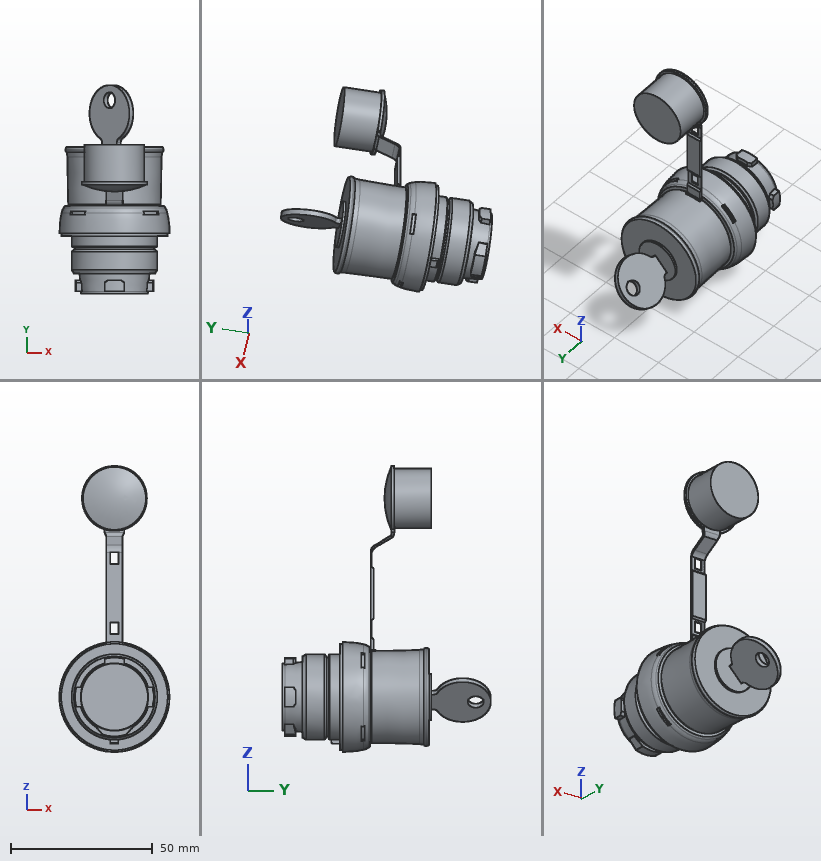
import cadquery as cq
import math

NOSE_RIM_END = 0.9
LUG_END = 4.9
NOSE_END = 7.2
COLLAR_END = 15.7
NECK_END = 16.4
SPIGOT_END = 20.4
BEZEL_STEP = 21.4
BEZEL_SEAM = 28.6
BEZEL_CORNER = 30.4
BEZEL_END = 31.1
GROOVE_END = 31.6
SKIRT_END = 48.4
LIP_START = 50.1
LIP_CREST_START = 50.7
LIP_CREST_END = 51.0
LIP_END = 51.9
DISC_END = 52.75

NOSE_TIP_RADIUS = 11.8
NOSE_RIM_RADIUS = 11.95
NOSE_ROOT_RADIUS = 12.4
COLLAR_RADIUS = 15.15
NECK_RADIUS = 14.0
BEZEL_STEP_RADIUS = 18.8
BEZEL_RADIUS = 19.5
BEZEL_SEAM_RADIUS = 18.7
BEZEL_CORNER_RADIUS = 18.0
BEZEL_REAR_RADIUS = 17.4
GROOVE_RADIUS = 15.7
SKIRT_FRONT_RADIUS = 16.4
SKIRT_REAR_RADIUS = 16.7
LIP_FLANK_RADIUS = 16.95
LIP_RADIUS = 17.35
DISC_RADIUS = 8.2

BEZEL_SEAM_BULGE = 0.1
BEZEL_CORNER_BULGE = 0.1
BEZEL_WALL_BULGE = 0.25
COLLAR_BEVEL = 0.8
COLLAR_REAR_BEVEL = 0.8
COLLAR_FRONT_BEVEL = 1.25
SPIGOT_BEVEL = 0.4
LIP_BULGE = 0.1

LUG_RADIUS = 13.9
LUG_WIDTH = 7.0
LUG_CORNER_LENGTH = 0.9
LUG_CORNER_WIDTH = 1.3
LUG_ROOT_RADIUS = 10.0
WEDGE_TIP_HALF_WIDTH = 4.2
WEDGE_TIP_DEPTH = 13.2
WEDGE_ROOT_HALF_WIDTH = 7.4
WEDGE_ROOT_DEPTH = 9.7

TAB_WIDTH = 2.8
TAB_REACH = 16.6
TAB_START = 17.3
TAB_BEVEL = 0.5

MARK_COUNT = 4
MARK_LENGTH = 7.2
MARK_WIDTH = 1.2
MARK_FLOOR_RADIUS = 17.9

CAP_HEIGHT = 70.15
CAP_FLANGE_RADIUS = 11.5
CAP_DOME_RADIUS = 11.1
CAP_PLUG_RADIUS = 10.6
CAP_DOME_APEX = 36.1
CAP_FLANGE_START = 38.5
CAP_FLANGE_END = 39.6

STRAP_WIDTH = 5.85
STRAP_HEAD_WIDTH = 7.1
STRAP_FRONT = 31.25
STRAP_THIN = 0.45
STRAP_THICK = 1.15
STRAP_ROOT = 14.5
STRAP_TOP = 60.5
STRAP_BEVEL = 0.7
RIDGE_LEVELS = [(STRAP_ROOT, 21.0), (27.1, 46.0)]
WINDOW_WIDTH = 2.85
WINDOW_LEVELS = [(22.3, 26.3), (47.0, 51.1)]
HEAD_FRONT = 38.6
HEAD_BACK = 39.7
LOWER_BEND = 51.2
HEAD_TAPER_START = 56.8
HEAD_TAPER_END = 58.2
FOOT_WIDTH = 6.3
FOOT_TOP = 16.7
FOOT_BACK = 32.9

KEY_THICKNESS = 2.0
KEY_TIP = 73.76
BOW_RADIUS = 10.0
KEY_OFFSET = -1.53
STEM_WIDTH = 7.5
STEM_FILLET = 1.5
KEY_HOLE_RADIUS = 2.8
KEY_HOLE_STATION = 68.4

AXIS_END = (0, 1)


def box(x_range, y_range, z_range):
    """Box spanning the given coordinate ranges."""
    spans = [x_range, y_range, z_range]
    sizes = [high - low for low, high in spans]
    corner = tuple(low for low, high in spans)
    return cq.Workplane("XY").box(*sizes, centered=False).translate(corner)


def cylinder_y(radius, start, end):
    """Cylinder about the Y axis."""
    return cq.Workplane("XZ", origin=(0, start, 0)).circle(radius).extrude(start - end)


def arc_middle(first, second, bulge):
    """Midpoint of a chord pushed outward in radius by the bulge."""
    return ((first[0] + second[0]) / 2 + bulge, (first[1] + second[1]) / 2)


def make_barrel():
    """Turned body: nose, collar, spigot, bezel, skirt, lip and lock disc."""
    bezel_edge = (BEZEL_RADIUS, BEZEL_STEP)
    bezel_seam = (BEZEL_SEAM_RADIUS, BEZEL_SEAM)
    bezel_corner = (BEZEL_CORNER_RADIUS, BEZEL_CORNER)
    bezel_rear = (BEZEL_REAR_RADIUS, BEZEL_END)
    lip_front = (LIP_FLANK_RADIUS, LIP_START)
    crest_front = (LIP_RADIUS, LIP_CREST_START)
    crest_rear = (LIP_RADIUS, LIP_CREST_END)
    lip_rear = (LIP_FLANK_RADIUS, LIP_END)
    profile = (
        cq.Workplane("XY")
        .lineTo(NOSE_TIP_RADIUS, 0)
        .lineTo(NOSE_RIM_RADIUS, NOSE_RIM_END)
        .lineTo(NOSE_ROOT_RADIUS, NOSE_END)
        .lineTo(COLLAR_RADIUS - COLLAR_BEVEL, NOSE_END)
        .lineTo(COLLAR_RADIUS, NOSE_END + COLLAR_FRONT_BEVEL)
        .lineTo(COLLAR_RADIUS, COLLAR_END - COLLAR_REAR_BEVEL)
        .lineTo(COLLAR_RADIUS - COLLAR_BEVEL, COLLAR_END)
        .lineTo(NECK_RADIUS, COLLAR_END)
        .lineTo(NECK_RADIUS, NECK_END)
        .lineTo(COLLAR_RADIUS - SPIGOT_BEVEL, NECK_END)
        .lineTo(COLLAR_RADIUS, NECK_END + SPIGOT_BEVEL)
        .lineTo(COLLAR_RADIUS, SPIGOT_END)
        .lineTo(BEZEL_STEP_RADIUS, SPIGOT_END)
        .lineTo(BEZEL_STEP_RADIUS, BEZEL_STEP)
        .lineTo(*bezel_edge)
        .threePointArc(arc_middle(bezel_edge, bezel_seam, BEZEL_WALL_BULGE), bezel_seam)
        .threePointArc(arc_middle(bezel_seam, bezel_corner, BEZEL_SEAM_BULGE), bezel_corner)
        .threePointArc(arc_middle(bezel_corner, bezel_rear, BEZEL_CORNER_BULGE), bezel_rear)
        .lineTo(GROOVE_RADIUS, BEZEL_END)
        .lineTo(GROOVE_RADIUS, GROOVE_END)
        .lineTo(SKIRT_FRONT_RADIUS, GROOVE_END)
        .lineTo(SKIRT_REAR_RADIUS, SKIRT_END)
        .lineTo(*lip_front)
        .threePointArc(arc_middle(lip_front, crest_front, LIP_BULGE), crest_front)
        .lineTo(*crest_rear)
        .threePointArc(arc_middle(crest_rear, lip_rear, LIP_BULGE), lip_rear)
        .lineTo(DISC_RADIUS, LIP_END)
        .lineTo(DISC_RADIUS, DISC_END)
        .lineTo(0, DISC_END)
        .close()
    )
    return profile.revolve(360, (0, 0), AXIS_END)


def lug_envelope():
    """Ring-shaped space that limits every lug."""
    return cylinder_y(LUG_RADIUS, NOSE_RIM_END, LUG_END)


def lug_plan(half_width, corner_width):
    """Lug outline along the axis, with both rear corners clipped."""
    clipped = half_width - corner_width
    corner_start = LUG_END - LUG_CORNER_LENGTH
    return [
        (-half_width, NOSE_RIM_END),
        (half_width, NOSE_RIM_END),
        (half_width, corner_start),
        (clipped, LUG_END),
        (-clipped, LUG_END),
        (-half_width, corner_start),
    ]


def make_straight_lug(angle):
    """Parallel-sided lug on top of the nose, turned about Y."""
    plan = lug_plan(LUG_WIDTH / 2, LUG_CORNER_WIDTH)
    block = cq.Workplane("XY", origin=(0, 0, LUG_ROOT_RADIUS)).polyline(plan).close()
    block = block.extrude(LUG_RADIUS - LUG_ROOT_RADIUS)
    return block.intersect(lug_envelope()).rotate((0, 0, 0), (0, 1, 0), angle)


def make_wedge_lug():
    """Lower lug whose flanks lean toward each other away from the nose."""
    outline = [
        (-WEDGE_ROOT_HALF_WIDTH, -WEDGE_ROOT_DEPTH),
        (-WEDGE_TIP_HALF_WIDTH, -WEDGE_TIP_DEPTH),
        (-WEDGE_TIP_HALF_WIDTH, -LUG_RADIUS),
        (WEDGE_TIP_HALF_WIDTH, -LUG_RADIUS),
        (WEDGE_TIP_HALF_WIDTH, -WEDGE_TIP_DEPTH),
        (WEDGE_ROOT_HALF_WIDTH, -WEDGE_ROOT_DEPTH),
    ]
    wedge = cq.Workplane("XZ").polyline(outline).close().extrude(-LUG_END)
    corner_width = WEDGE_ROOT_HALF_WIDTH - WEDGE_TIP_HALF_WIDTH
    plan = lug_plan(WEDGE_ROOT_HALF_WIDTH, corner_width)
    plan_block = cq.Workplane("XY").polyline(plan).close().extrude(-LUG_RADIUS)
    return wedge.intersect(plan_block).intersect(lug_envelope())


def make_tab():
    """Locating tab below the spigot with a bevelled front edge."""
    half = TAB_WIDTH / 2
    tab = box((-half, half), (TAB_START, BEZEL_STEP), (-TAB_REACH, -NECK_RADIUS))
    return tab.faces("<Y").edges("<Z").chamfer(TAB_BEVEL)


def make_mark_cutter(angle):
    """Slot cutter for one bezel mark."""
    half_length = MARK_LENGTH / 2
    half_width = MARK_WIDTH / 2
    cutter = box(
        (-half_length, half_length),
        (BEZEL_SEAM - half_width, BEZEL_SEAM + half_width),
        (0, BEZEL_RADIUS),
    )
    core = cylinder_y(MARK_FLOOR_RADIUS, BEZEL_STEP, BEZEL_END)
    return cutter.cut(core).rotate((0, 0, 0), (0, 1, 0), angle)


def make_cap():
    """Plug with a flange and a shallow domed front."""
    dome_edge = (CAP_DOME_RADIUS, CAP_FLANGE_START)
    dome_height = CAP_FLANGE_START - CAP_DOME_APEX
    sphere_radius = (CAP_DOME_RADIUS**2 + dome_height**2) / (2 * dome_height)
    profile = (
        cq.Workplane("XY")
        .moveTo(0, CAP_DOME_APEX)
        .radiusArc(dome_edge, -sphere_radius)
        .lineTo(CAP_FLANGE_RADIUS, CAP_FLANGE_START)
        .lineTo(CAP_FLANGE_RADIUS, CAP_FLANGE_END)
        .lineTo(CAP_PLUG_RADIUS, CAP_FLANGE_END)
        .lineTo(CAP_PLUG_RADIUS, DISC_END)
        .lineTo(0, DISC_END)
        .close()
    )
    return profile.revolve(360, (0, 0), AXIS_END).translate((0, 0, CAP_HEIGHT))


def make_strap_band():
    """Bent band, thin along the barrel end and thicker toward the cap."""
    thin_back = STRAP_FRONT + STRAP_THIN
    front_slope = [(33.0, 53.75), (38.0, 56.8)]
    back_slope = [(39.0, 56.35), (33.4, 53.1)]
    return (
        cq.Workplane("YZ", origin=(-STRAP_HEAD_WIDTH / 2, 0, 0))
        .moveTo(STRAP_FRONT, STRAP_ROOT)
        .lineTo(STRAP_FRONT, LOWER_BEND)
        .tangentArcPoint(front_slope[0], relative=False)
        .lineTo(*front_slope[1])
        .tangentArcPoint((HEAD_FRONT, HEAD_TAPER_END), relative=False)
        .lineTo(HEAD_FRONT, STRAP_TOP)
        .lineTo(HEAD_BACK, STRAP_TOP)
        .lineTo(HEAD_BACK, HEAD_TAPER_END)
        .tangentArcPoint(back_slope[0], relative=False)
        .lineTo(*back_slope[1])
        .tangentArcPoint((thin_back, LOWER_BEND), relative=False)
        .lineTo(thin_back, STRAP_ROOT)
        .close()
        .extrude(STRAP_HEAD_WIDTH)
    )


def make_ridge(bottom, top):
    """Thickened stretch on the back of the strap with bevelled ends."""
    back = STRAP_FRONT + STRAP_THICK
    half = STRAP_WIDTH / 2
    ridge = box((-half, half), (STRAP_FRONT, back), (bottom, top))
    return ridge.faces(">Y").edges("|X").chamfer(STRAP_BEVEL)


def make_strap():
    """Strap with ridges, windows and a foot seated in the barrel groove."""
    half = STRAP_WIDTH / 2
    head_half = STRAP_HEAD_WIDTH / 2
    front_outline = [
        (-half, STRAP_ROOT),
        (half, STRAP_ROOT),
        (half, HEAD_TAPER_START),
        (head_half, HEAD_TAPER_END),
        (head_half, STRAP_TOP),
        (-head_half, STRAP_TOP),
        (-head_half, HEAD_TAPER_END),
        (-half, HEAD_TAPER_START),
    ]
    envelope = cq.Workplane("XZ").polyline(front_outline).close().extrude(-DISC_END)
    strap = make_strap_band().intersect(envelope)
    for bottom, top in RIDGE_LEVELS:
        strap = strap.union(make_ridge(bottom, top))
    window_half = WINDOW_WIDTH / 2
    for bottom, top in WINDOW_LEVELS:
        window = box((-window_half, window_half), (BEZEL_END, FOOT_BACK), (bottom, top))
        strap = strap.cut(window)
    foot_half = FOOT_WIDTH / 2
    foot = box((-foot_half, foot_half), (STRAP_FRONT, FOOT_BACK), (STRAP_ROOT, FOOT_TOP))
    return strap.union(foot)


def make_key():
    """Flat key with a round bow, lying at 45 degrees about the barrel axis."""
    bow_station = KEY_TIP - BOW_RADIUS
    stem_length = bow_station - LIP_END
    shift = KEY_OFFSET * math.sqrt(0.5)
    plane = cq.Plane(origin=(shift, 0, shift), xDir=(1, 0, 1), normal=(-1, 0, 1))
    half_thickness = KEY_THICKNESS / 2
    bow = cq.Workplane(plane).center(0, bow_station).circle(BOW_RADIUS)
    bow = bow.extrude(half_thickness, both=True)
    stem = cq.Workplane(plane).center(0, LIP_END + stem_length / 2).rect(STEM_WIDTH, stem_length)
    stem = stem.extrude(half_thickness, both=True)
    junction_station = bow_station - math.sqrt(BOW_RADIUS**2 - (STEM_WIDTH / 2) ** 2)
    near_junction = cq.selectors.BoxSelector(
        (-BOW_RADIUS, junction_station - STEM_FILLET, -BOW_RADIUS),
        (BOW_RADIUS, junction_station + STEM_FILLET, BOW_RADIUS),
    )
    across = cq.selectors.ParallelDirSelector(cq.Vector(-1, 0, 1))
    key = bow.union(stem).edges(across).edges(near_junction).fillet(STEM_FILLET)
    hole = cq.Workplane(plane).center(0, KEY_HOLE_STATION).circle(KEY_HOLE_RADIUS)
    return key.cut(hole.extrude(KEY_THICKNESS, both=True))


result = make_barrel()
for lug_angle in (-90, 0, 90):
    result = result.union(make_straight_lug(lug_angle))
result = result.union(make_wedge_lug())
result = result.union(make_tab())
for mark_index in range(MARK_COUNT):
    mark_angle = 360 / MARK_COUNT * (mark_index + 0.5)
    result = result.cut(make_mark_cutter(mark_angle))
result = result.union(make_strap())
result = result.union(make_cap())
result = result.union(make_key())